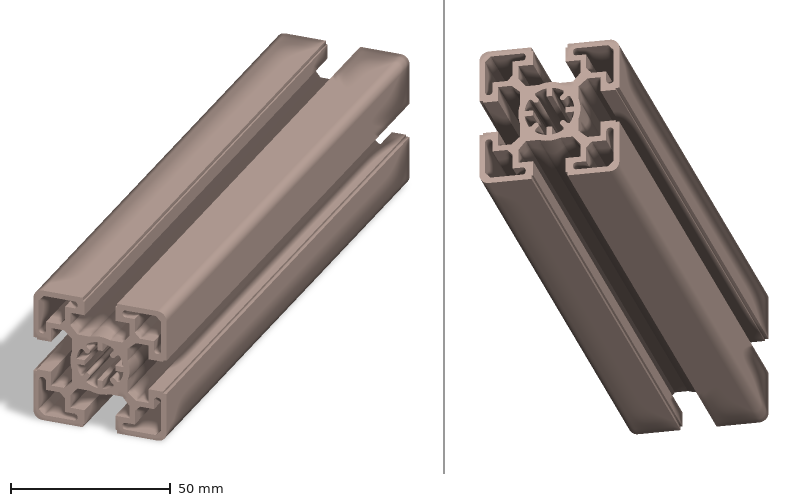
import cadquery as cq
import math

side = 45.0
length = 200.0
half = side / 2
corner_radius = 3.0

mouth_half_width = 5.2
mouth_relief_half_width = 5.8
mouth_relief_depth = 1.2
lip_thickness = 6.0
slot_half_width = 10.0
slot_shoulder_height = 12.2

floor_height = 9.5
floor_half_width = 7.5
crown_half_width = 3.5
crown_rise = 0.5

wall = 1.8
chamber_outer_chamfer = 1.8
chamber_inner_chamfer = 1.8
finger_end = 7.5
finger_width = 2.5
finger_radius = 1.1

bore_radius = 8.0
rib_width = 1.8
rib_tip_distance = 5.2
diagonal_rib_base = 4.5

QUARTER_TURNS = [0, 90, 180, 270]


def turned(point, degrees):
    """Profile point turned clockwise about the profile axis."""
    x, z = point
    angle = math.radians(degrees)
    return (x * math.cos(angle) + z * math.sin(angle), z * math.cos(angle) - x * math.sin(angle))


def mirrored(point):
    """Profile point mirrored about the diagonal x = z."""
    x, z = point
    return (z, x)


def turned_about_axis(solid, degrees):
    return solid.rotate((0, 0, 0), (0, 1, 0), degrees)


def end_plane():
    """XZ sketch plane at the +Y end of the profile."""
    return cq.Workplane("XZ", origin=(0, length / 2, 0))


def slotted_bar():
    """Solid bar with the four T-slots; each quarter is symmetric about its diagonal."""
    lip_bottom = half - lip_thickness
    relief_bottom = half - mouth_relief_depth
    crown_to_corner = [
        (crown_half_width, floor_height),
        (floor_half_width, floor_height),
        (slot_half_width, slot_shoulder_height),
        (slot_half_width, lip_bottom),
        (mouth_half_width, lip_bottom),
        (mouth_half_width, relief_bottom),
        (mouth_relief_half_width, relief_bottom),
        (mouth_relief_half_width, half),
        (half - corner_radius, half),
    ]
    corner_to_crown = [mirrored(point) for point in reversed(crown_to_corner)]

    crown_start = (-crown_half_width, floor_height)
    crown_top = (0, floor_height + crown_rise)
    corner_middle = half - corner_radius * (1 - math.sqrt(0.5))

    outline = end_plane().moveTo(*crown_start)
    for turn in QUARTER_TURNS:
        outline = outline.threePointArc(turned(crown_top, turn), turned(crown_to_corner[0], turn))
        for point in crown_to_corner[1:]:
            outline = outline.lineTo(*turned(point, turn))
        outline = outline.threePointArc(
            turned((corner_middle, corner_middle), turn), turned(corner_to_crown[0], turn)
        )
        for point in corner_to_crown[1:]:
            outline = outline.lineTo(*turned(point, turn))
    return outline.close().extrude(length)


def corner_chamber():
    """Hollow of the +X +Z corner."""
    outer = half - wall
    inner = slot_half_width + wall
    finger_inner = outer - finger_width
    outline = [
        (inner, inner + chamber_inner_chamfer),
        (inner, finger_inner),
        (finger_end, finger_inner),
        (finger_end, outer),
        (outer - chamber_outer_chamfer, outer),
        (outer, outer - chamber_outer_chamfer),
        (outer, finger_end),
        (finger_inner, finger_end),
        (finger_inner, inner),
        (inner + chamber_inner_chamfer, inner),
    ]
    chamber = end_plane().polyline(outline).close().extrude(length)
    for finger_end_edges in ("|Y and <X", "|Y and <Z"):
        chamber = chamber.edges(finger_end_edges).fillet(finger_radius)
    return chamber


def ribbed_bore():
    """Bore hollow, cut back by eight ribs that reach towards the axis."""
    bore = end_plane().circle(bore_radius).extrude(length)

    rib_length = bore_radius + rib_width - rib_tip_distance
    rib_centre = rib_tip_distance + rib_length / 2
    square_rib = end_plane().center(rib_centre, 0).rect(rib_length, rib_width).extrude(length)
    round_rib = end_plane().center(rib_centre, 0).slot2D(rib_length, rib_width).extrude(length)
    rib_base = (
        end_plane()
        .center(diagonal_rib_base, diagonal_rib_base)
        .rect(bore_radius, bore_radius, centered=False)
        .extrude(length)
    )
    diagonal_rib = turned_about_axis(round_rib, -45).union(rib_base)

    for turn in QUARTER_TURNS:
        bore = bore.cut(turned_about_axis(square_rib, turn))
        bore = bore.cut(turned_about_axis(diagonal_rib, turn))
    return bore


result = slotted_bar().cut(ribbed_bore())
chamber = corner_chamber()
for turn in QUARTER_TURNS:
    result = result.cut(turned_about_axis(chamber, turn))